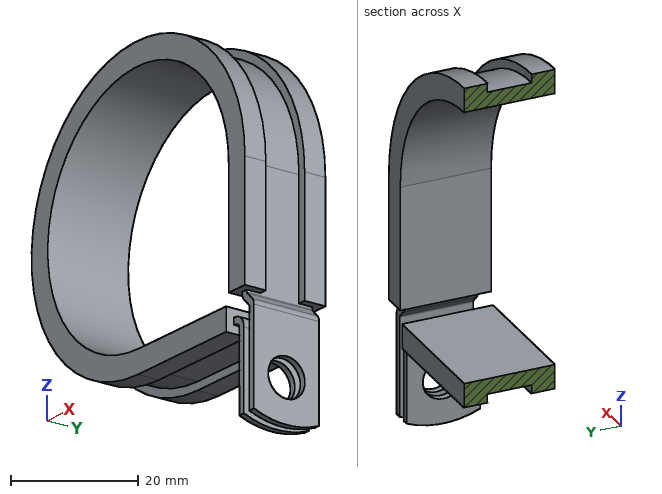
import cadquery as cq

ring_radius = 28.1
cushion_thickness = 4.3
cushion_width = 15.8
upright_leg_end_z = -21.7
level_leg_end_x = 23.15

groove_depth = 1.5
groove_width = 7.6

strap_thickness = 1.2
strap_width = 12.75
tab_bottom_z = -43.6
outer_tab_face_x = 28.45
inner_tab_face_x = 25.8
strap_overlap = 1.4
elbow_inner_radius = 1.15
jog_start_z = -22.2
jog_inner_radius = 0.3
tab_end_rise = 1.3
hole_diameter = 7.2
hole_height = 7.95

strap_radius = ring_radius - groove_depth
inner_radius = ring_radius - cushion_thickness
strap_inner_radius = strap_radius - strap_thickness


def extrude_centred(profile, width):
    """Extrude an XZ profile to equal distances either side of Y = 0."""
    return profile.extrude(width / 2, both=True)


def clamp_outline(radius):
    """Area inside a three-quarter ring with two straight tangent legs."""
    return (
        cq.Workplane("XZ")
        .moveTo(radius, 0)
        .threePointArc((0, radius), (-radius, 0))
        .threePointArc((-radius * 0.5**0.5, -radius * 0.5**0.5), (0, -radius))
        .lineTo(radius, -radius)
        .close()
    )


def corner_opening(width):
    """Block that removes the lower right corner between the two leg ends."""
    reach = 2 * ring_radius
    profile = (
        cq.Workplane("XZ")
        .moveTo(level_leg_end_x, -reach)
        .lineTo(level_leg_end_x, -inner_radius)
        .lineTo(inner_radius, upright_leg_end_z)
        .lineTo(reach, upright_leg_end_z)
        .lineTo(reach, -reach)
        .close()
    )
    return extrude_centred(profile, width)


def make_cushion():
    outer = extrude_centred(clamp_outline(ring_radius), cushion_width)
    bore = extrude_centred(clamp_outline(inner_radius), cushion_width)
    groove = extrude_centred(clamp_outline(ring_radius), groove_width).cut(
        extrude_centred(clamp_outline(strap_radius), groove_width)
    )
    return outer.cut(bore).cut(groove).cut(corner_opening(cushion_width))


def make_inner_tab():
    """Strap leaving the level leg and turning down through a round elbow."""
    elbow_outer_radius = elbow_inner_radius + strap_thickness
    elbow_x = inner_tab_face_x - elbow_outer_radius
    elbow_z = -strap_inner_radius - elbow_outer_radius
    profile = (
        cq.Workplane("XZ")
        .moveTo(level_leg_end_x - strap_overlap, -strap_inner_radius)
        .lineTo(elbow_x, -strap_inner_radius)
        .radiusArc((inner_tab_face_x, elbow_z), elbow_outer_radius)
        .lineTo(inner_tab_face_x, tab_bottom_z)
        .lineTo(inner_tab_face_x - strap_thickness, tab_bottom_z)
        .lineTo(inner_tab_face_x - strap_thickness, elbow_z)
        .radiusArc((elbow_x, -strap_radius), -elbow_inner_radius)
        .lineTo(level_leg_end_x - strap_overlap, -strap_radius)
        .close()
    )
    return extrude_centred(profile, strap_width)


def make_outer_tab():
    """Strap leaving the upright leg and stepping outward at 45 degrees."""
    jog = outer_tab_face_x - strap_radius
    jog_end_z = jog_start_z - jog
    bend_offset = strap_thickness * (2**0.5 - 1)
    profile = (
        cq.Workplane("XZ")
        .moveTo(strap_inner_radius, upright_leg_end_z + strap_overlap)
        .lineTo(strap_radius, upright_leg_end_z + strap_overlap)
        .lineTo(strap_radius, jog_start_z)
        .lineTo(outer_tab_face_x, jog_end_z)
        .lineTo(outer_tab_face_x, tab_bottom_z)
        .lineTo(outer_tab_face_x - strap_thickness, tab_bottom_z)
        .lineTo(outer_tab_face_x - strap_thickness, jog_end_z - bend_offset)
        .lineTo(strap_inner_radius, jog_start_z - bend_offset)
        .close()
    )
    tab = extrude_centred(profile, strap_width)

    def bend_edges(x, z):
        return cq.selectors.NearestToPointSelector((x, 0, z))

    inside_bends = [
        (strap_radius, jog_start_z),
        (outer_tab_face_x - strap_thickness, jog_end_z - bend_offset),
    ]
    outside_bends = [
        (strap_inner_radius, jog_start_z - bend_offset),
        (outer_tab_face_x, jog_end_z),
    ]
    for x, z in inside_bends:
        tab = tab.edges("|Y").edges(bend_edges(x, z)).fillet(jog_inner_radius)
    for x, z in outside_bends:
        tab = tab.edges("|Y").edges(bend_edges(x, z)).fillet(jog_inner_radius + strap_thickness)
    return tab


def tab_blank():
    """Side silhouette of the tabs: curved lower end and screw hole."""
    half_width = strap_width / 2
    shoulder_z = tab_bottom_z + tab_end_rise
    return (
        cq.Workplane("YZ")
        .moveTo(-half_width, 0)
        .lineTo(-half_width, shoulder_z)
        .threePointArc((0, tab_bottom_z), (half_width, shoulder_z))
        .lineTo(half_width, 0)
        .close()
        .moveTo(0, tab_bottom_z + hole_height)
        .circle(hole_diameter / 2)
        .extrude(2 * ring_radius)
    )


tabs = make_inner_tab().union(make_outer_tab()).intersect(tab_blank())

result = make_cushion().union(tabs)